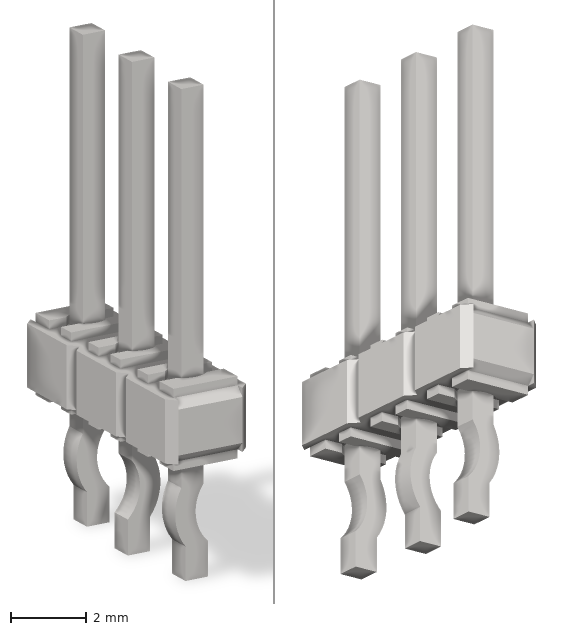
import cadquery as cq

PIN_COUNT = 3
PITCH = 2.54
PIN_SIZE = 0.69
TOTAL_HEIGHT = 13.84
TAIL_LENGTH = 3.43

BODY_LENGTH = PIN_COUNT * PITCH
BODY_WIDTH = 2.49
BODY_HEIGHT = 1.80
CHAMFER = 0.254

PAD_HEIGHT = 0.254
PAD_HALF_LENGTH = 0.825
PAD_WIDTH = BODY_WIDTH - 2 * CHAMFER
CHANNEL_WIDTH = 0.61
RELIEF_HALF_LENGTH = 0.49
RELIEF_HALF_WIDTH = 0.46

TAIL_OFFSET = 0.13
KINK_TOP_RISE = 2.64
OUTER_ARC_END_RISE = 0.97
INNER_ARC_END_RISE = 1.01
OUTER_SAGITTA = 0.25
INNER_SAGITTA = 0.31

BODY_BOTTOM = PAD_HEIGHT
BODY_TOP = BODY_BOTTOM + BODY_HEIGHT
TIP_Z = -TAIL_LENGTH
PIN_TOP = TIP_Z + TOTAL_HEIGHT
FIRST_PIN_X = -(PIN_COUNT - 1) * PITCH / 2
PIN_POSITIONS = [FIRST_PIN_X + i * PITCH for i in range(PIN_COUNT)]
END_X = BODY_LENGTH / 2


def box_between(x_min, x_max, width, z_min, height):
    """Box from x_min to x_max, centred on Y and rising from z_min."""
    return (
        cq.Workplane("XY")
        .box(x_max - x_min, width, height, centered=(False, True, False))
        .translate((x_min, 0, z_min))
    )


def make_body():
    """One corner-chamfered block per pin; neighbouring chamfers form the V-notches."""
    body = cq.Workplane("XY")
    for x in PIN_POSITIONS:
        block = box_between(x - PITCH / 2, x + PITCH / 2, BODY_WIDTH, BODY_BOTTOM, BODY_HEIGHT)
        body = body.union(block.edges("|Z").chamfer(CHAMFER))
    return body


def make_end_wedges():
    """Wedges that bevel the end faces' upper and lower edges between the corner chamfers."""
    wedges = []
    for side in (-1, 1):
        for z_edge, inward in ((BODY_TOP, -1), (BODY_BOTTOM, 1)):
            wedge = (
                cq.Workplane("XZ")
                .moveTo(side * END_X, z_edge)
                .lineTo(side * (END_X - CHAMFER), z_edge)
                .lineTo(side * END_X, z_edge + inward * CHAMFER)
                .close()
                .extrude(PAD_WIDTH / 2, both=True)
            )
            wedges.append(wedge)
    return wedges


def make_pads(x, z_min):
    """Pair of pads on either side of one pin; the outermost pads reach to the end bevels."""
    x_min = x - PAD_HALF_LENGTH
    x_max = x + PAD_HALF_LENGTH
    if x == PIN_POSITIONS[0]:
        x_min = -END_X + CHAMFER
    if x == PIN_POSITIONS[-1]:
        x_max = END_X - CHAMFER
    channel_side = CHANNEL_WIDTH / 2
    channel = box_between(x - channel_side, x + channel_side, PAD_WIDTH, z_min, PAD_HEIGHT)
    relief = (
        cq.Workplane("XY", origin=(x, 0, z_min))
        .moveTo(channel_side, -RELIEF_HALF_WIDTH)
        .threePointArc((RELIEF_HALF_LENGTH, 0), (channel_side, RELIEF_HALF_WIDTH))
        .lineTo(-channel_side, RELIEF_HALF_WIDTH)
        .threePointArc((-RELIEF_HALF_LENGTH, 0), (-channel_side, -RELIEF_HALF_WIDTH))
        .close()
        .extrude(PAD_HEIGHT)
    )
    return box_between(x_min, x_max, PAD_WIDTH, z_min, PAD_HEIGHT).cut(channel).cut(relief)


def make_pin(x, bulge):
    """Pin with a kinked tail; bulge is the Y direction (-1 or 1) of the kink."""
    outer_y = bulge * PIN_SIZE / 2
    inner_y = -outer_y
    shift = -bulge * TAIL_OFFSET
    kink_top = TIP_Z + KINK_TOP_RISE
    outer_end = TIP_Z + OUTER_ARC_END_RISE
    inner_end = TIP_Z + INNER_ARC_END_RISE
    outer_mid = (outer_y + shift / 2 + bulge * OUTER_SAGITTA, (kink_top + outer_end) / 2)
    inner_mid = (inner_y + shift / 2 + bulge * INNER_SAGITTA, (kink_top + inner_end) / 2)
    return (
        cq.Workplane("YZ", origin=(x, 0, 0))
        .moveTo(inner_y, PIN_TOP)
        .lineTo(outer_y, PIN_TOP)
        .lineTo(outer_y, kink_top)
        .threePointArc(outer_mid, (outer_y + shift, outer_end))
        .lineTo(outer_y + shift, TIP_Z)
        .lineTo(inner_y + shift, TIP_Z)
        .lineTo(inner_y + shift, inner_end)
        .threePointArc(inner_mid, (inner_y, kink_top))
        .close()
        .extrude(PIN_SIZE / 2, both=True)
    )


result = make_body()
for end_wedge in make_end_wedges():
    result = result.cut(end_wedge)
for index, pin_x in enumerate(PIN_POSITIONS):
    kink_direction = -1 if index % 2 == 0 else 1
    result = result.union(make_pads(pin_x, 0))
    result = result.union(make_pads(pin_x, BODY_TOP))
    result = result.union(make_pin(pin_x, kink_direction))